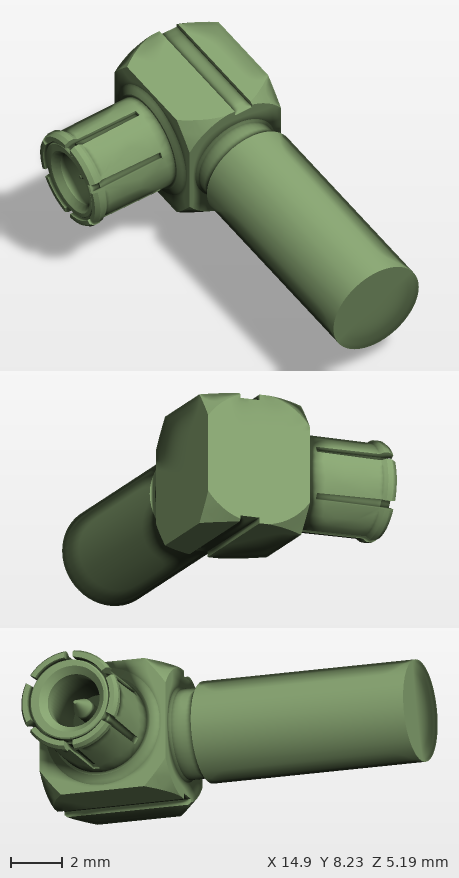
import cadquery as cq
import math


block_length = 5.19
block_height = 5.19
block_depth = 4.28
corner_radius = 2.62
corner_angle = 40.0
groove_width = 0.8
groove_depth = 0.22
groove_to_back = 1.35

overall_length = 14.9
neck_diameter = 3.55
neck_base_diameter = 3.72
neck_cone_length = 0.1
neck_length = 0.98
ferrule_diameter = 4.0

plug_length = 3.95
plug_x = block_length / 2
boss_base_diameter = 4.71
boss_top_diameter = 4.02
boss_length = 0.2
finger_root_diameter = 3.81
finger_end_diameter = 3.75
lip_diameter = 4.0
lip_start = 3.37
lip_crest_start = 3.55
lip_crest_end = 3.77
lip_tip_diameter = 3.78

slot_count = 6
slot_start = 0.67
slot_root_width = 0.27
slot_tip_width = 0.36

core_diameter = 3.43
core_front_diameter = 3.38
core_front = 3.45
nose_diameter = 3.2
nose_tip_diameter = 3.11
nose_setback = 0.06

contact_offset = 0.1
bore_diameter = 2.13
bore_mouth_diameter = 2.67
pin_diameter = 0.76
pin_tip_diameter = 0.13
pin_setback = 0.45
pin_cone_length = 0.9

block_front_y = -block_depth / 2
nose_front = plug_length - nose_setback


def turned(profile, axis_x):
    """Revolve (diameter, distance in front of the block) points about a Y-parallel axis."""
    outline = [(diameter / 2, -distance) for diameter, distance in profile]
    axis_start = (0, -profile[0][1])
    axis_end = (0, -profile[-1][1])
    section = cq.Workplane("XY").polyline([axis_start, *outline, axis_end]).close()
    return section.revolve(360, (0, 0), (0, 1)).translate((axis_x, block_front_y, 0))


def make_block():
    block = cq.Workplane("XY").box(block_length, block_depth, block_height)
    block = block.translate((block_length / 2, 0, 0))

    mid_radius = corner_radius + block_length / 2 * math.tan(math.radians(corner_angle))
    envelope = (
        cq.Workplane("XY")
        .moveTo(0, 0)
        .lineTo(0, corner_radius)
        .lineTo(block_length / 2, mid_radius)
        .lineTo(block_length, corner_radius)
        .lineTo(block_length, 0)
        .close()
        .revolve(360, (0, 0), (1, 0))
    )
    block = block.intersect(envelope)

    groove_y = block_depth / 2 - groove_to_back - groove_width / 2
    groove = cq.Workplane("XY").box(block_length, groove_width, 2 * groove_depth)
    for side in (1, -1):
        block = block.cut(groove.translate((block_length / 2, groove_y, side * block_height / 2)))
    return block


def make_neck():
    return (
        cq.Workplane("XY")
        .moveTo(block_length, 0)
        .lineTo(block_length, neck_base_diameter / 2)
        .lineTo(block_length + neck_cone_length, neck_diameter / 2)
        .lineTo(block_length + neck_length, neck_diameter / 2)
        .lineTo(block_length + neck_length, 0)
        .close()
        .revolve(360, (0, 0), (1, 0))
    )


def make_boss():
    return turned([(boss_base_diameter, 0), (boss_top_diameter, boss_length)], plug_x)


def make_slot():
    """Wedge that separates two fingers, widening toward the tips."""
    return (
        cq.Workplane("XY")
        .polyline([
            (-slot_root_width / 2, -slot_start),
            (slot_root_width / 2, -slot_start),
            (slot_tip_width / 2, -plug_length),
            (-slot_tip_width / 2, -plug_length),
        ])
        .close()
        .extrude(lip_diameter)
    )


def make_fingers():
    fingers = turned([
        (finger_root_diameter, 0),
        (finger_end_diameter, lip_start),
        (lip_diameter, lip_crest_start),
        (lip_diameter, lip_crest_end),
        (lip_tip_diameter, plug_length),
    ], plug_x)
    recess = turned([
        (core_front_diameter, core_front),
        (core_front_diameter, plug_length),
    ], plug_x)
    fingers = fingers.cut(recess)
    slot = make_slot()
    for index in range(slot_count):
        turned_slot = slot.rotate((0, 0, 0), (0, 1, 0), index * 360 / slot_count)
        fingers = fingers.cut(turned_slot.translate((plug_x, block_front_y, 0)))
    return fingers


def make_core():
    nose_chamfer = (nose_diameter - nose_tip_diameter) / 2
    return turned([
        (core_diameter, 0),
        (core_diameter, slot_start),
        (core_front_diameter, core_front),
        (nose_diameter, core_front),
        (nose_diameter, nose_front - nose_chamfer),
        (nose_tip_diameter, nose_front),
    ], plug_x)


def make_bore():
    """Blind bore, as deep as the slots, with a 45 degree mouth."""
    mouth_depth = (bore_mouth_diameter - bore_diameter) / 2
    return turned([
        (bore_diameter, slot_start),
        (bore_diameter, nose_front - mouth_depth),
        (bore_mouth_diameter, nose_front),
    ], plug_x + contact_offset)


def make_pin():
    pin_tip = nose_front - pin_setback
    return turned([
        (pin_diameter, 0),
        (pin_diameter, pin_tip - pin_cone_length),
        (pin_tip_diameter, pin_tip),
    ], plug_x + contact_offset)


def make_housing():
    housing = make_block().union(make_neck()).union(make_boss())
    housing = housing.union(make_fingers()).union(make_core())
    return housing.cut(make_bore()).union(make_pin())


def make_ferrule():
    ferrule_start = block_length + neck_length
    ferrule = cq.Workplane("YZ", origin=(ferrule_start, 0, 0)).circle(ferrule_diameter / 2)
    return ferrule.extrude(overall_length - ferrule_start)


housing = make_housing()
ferrule = make_ferrule()
result = cq.Compound.makeCompound([housing.val(), ferrule.val()])